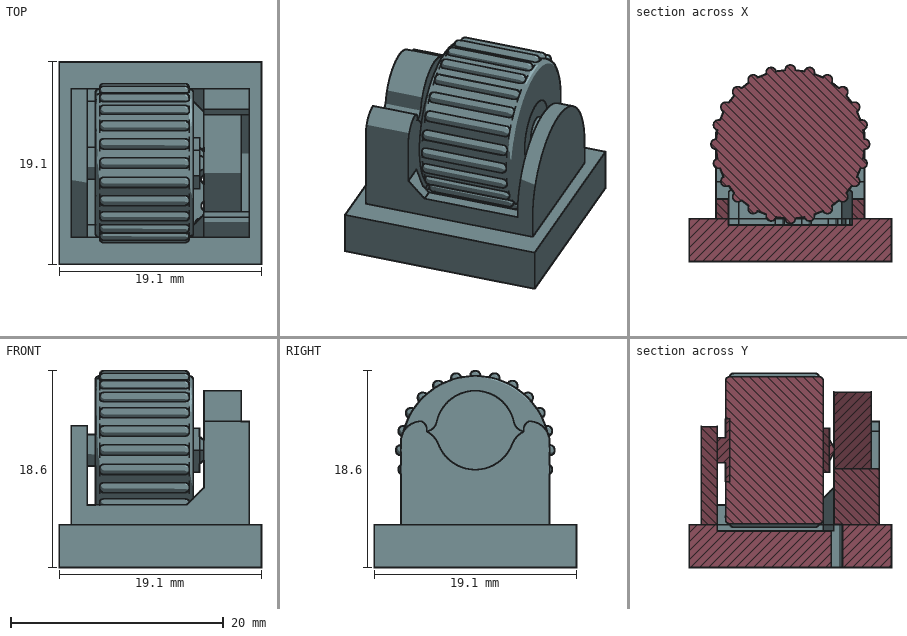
import cadquery as cq
import math

base_side = 19.05
base_top = 4.04
recess_depth = 0.57
pin_hole_diameter = 1.03
pin_hole_x = 4.38
pin_hole_middle_y = -1.52
pin_hole_pitch = 2.5
small_hole_diameter = 0.65
small_hole_x = 3.65
small_hole_y = -5.56

axis_z = 11.05
wheel_radius = 7.0
wheel_left = -6.12
wheel_right = 3.12
wheel_edge_radius = 0.4
rib_count = 24
rib_radius = 0.5
rib_end_radius = 0.4
hub_diameter = 6.15
hub_depth = 0.4

frame_half_length = 8.38
frame_half_width = wheel_radius
frame_floor = 5.9
left_wall_right = -6.85
left_arch_z = 6.36
block_left = 4.1
block_top = 13.77
shoulder_z = 12.13
crest_y = 5.07
arm_bow = 0.2
ramp_size = 1.62
pocket_half_width = 5.81
pocket_corner = 0.97

housing_right = 7.64
dome_radius = 3.71
dome_top = 16.65
groove_radius = 1.15
groove_angle = 12.0
lip_angle = 21.0
seam_y = 4.57

axle_diameter = 3.0
nut_across_flats = 4.15
nut_right = 3.7
tip_across_flats = 2.61
tip_taper = 42.0


def polar(center, radius, degrees):
    """Point at an angle on a circle."""
    angle = math.radians(degrees)
    return (center[0] + radius * math.cos(angle), center[1] + radius * math.sin(angle))


def arc_middle(center, start, end):
    """Middle of the shorter arc from start to end about center."""
    chord_y = (start[0] + end[0]) / 2 - center[0]
    chord_z = (start[1] + end[1]) / 2 - center[1]
    stretch = math.dist(center, start) / math.hypot(chord_y, chord_z)
    return (center[0] + chord_y * stretch, center[1] + chord_z * stretch)


def mirrored(point):
    """The same point on the other side of the mid plane."""
    return (-point[0], point[1])


dome_center = (0, dome_top - dome_radius)
cradle_bottom = (0, dome_center[1] - dome_radius)

groove_start = polar(dome_center, dome_radius, groove_angle)
groove_center = polar(dome_center, dome_radius + groove_radius, groove_angle)
seam = (seam_y, groove_center[1] - math.sqrt(groove_radius**2 - (seam_y - groove_center[0])**2))
foot_middle = arc_middle(groove_center, groove_start, seam)

crest = (crest_y, block_top)
arm_side = math.dist(seam, crest)
arm_middle = (
    (seam[0] + crest[0]) / 2 - arm_bow * (crest[1] - seam[1]) / arm_side,
    (seam[1] + crest[1]) / 2 + arm_bow * (crest[0] - seam[0]) / arm_side,
)

shoulder_start = (frame_half_width, shoulder_z)
shoulder_height = block_top - shoulder_z
shoulder_radius = ((frame_half_width - crest_y)**2 + shoulder_height**2) / (2 * shoulder_height)
shoulder_middle = arc_middle((crest_y, block_top - shoulder_radius), shoulder_start, crest)

lip_end = polar(dome_center, dome_radius, -lip_angle)
lip_normal = polar((0, 0), 1, -lip_angle)
seam_offset = (seam[0] - lip_end[0], seam[1] - lip_end[1])
lip_radius = (seam_offset[0]**2 + seam_offset[1]**2) / (
    2 * (seam_offset[0] * lip_normal[0] + seam_offset[1] * lip_normal[1])
)
lip_center = polar(dome_center, dome_radius + lip_radius, -lip_angle)
lip_middle = arc_middle(lip_center, seam, lip_end)


def pocket_cutter(bottom, top):
    """Prism of the wheel pocket, with 45 degree corners at the block end."""
    corner_x = block_left - pocket_corner
    corner_y = pocket_half_width - pocket_corner
    return (
        cq.Workplane("XY", origin=(0, 0, bottom))
        .moveTo(left_wall_right, -pocket_half_width)
        .lineTo(corner_x, -pocket_half_width)
        .lineTo(block_left, -corner_y)
        .lineTo(block_left, corner_y)
        .lineTo(corner_x, pocket_half_width)
        .lineTo(left_wall_right, pocket_half_width)
        .close()
        .extrude(top - bottom)
    )


def make_base():
    """Square plate with the wheel recess and its through holes."""
    plate = cq.Workplane("XY").rect(base_side, base_side).extrude(base_top)
    plate = plate.cut(pocket_cutter(base_top - recess_depth, base_top))
    pin_places = [(pin_hole_x, pin_hole_middle_y + i * pin_hole_pitch) for i in (-1, 0, 1)]
    pin_holes = cq.Workplane("XY").pushPoints(pin_places).circle(pin_hole_diameter / 2).extrude(base_top)
    small_hole = (
        cq.Workplane("XY")
        .center(small_hole_x, small_hole_y)
        .circle(small_hole_diameter / 2)
        .extrude(base_top)
    )
    return plate.cut(pin_holes).cut(small_hole)


def make_left_wall():
    """Wall with a semicircular top that the axle stub meets."""
    return (
        cq.Workplane("YZ", origin=(-frame_half_length, 0, 0))
        .moveTo(-frame_half_width, base_top)
        .lineTo(frame_half_width, base_top)
        .lineTo(frame_half_width, left_arch_z)
        .threePointArc((0, left_arch_z + frame_half_width), (-frame_half_width, left_arch_z))
        .close()
        .extrude(left_wall_right + frame_half_length)
    )


def make_floor():
    """Floor between the walls, rising in a ramp to the block."""
    return (
        cq.Workplane("XZ", origin=(0, frame_half_width, 0))
        .moveTo(left_wall_right, base_top)
        .lineTo(block_left, base_top)
        .lineTo(block_left, frame_floor + ramp_size)
        .lineTo(block_left - ramp_size, frame_floor)
        .lineTo(left_wall_right, frame_floor)
        .close()
        .extrude(2 * frame_half_width)
    )


def make_block():
    """Block with two rounded arms and the cradle between them."""
    return (
        cq.Workplane("YZ", origin=(block_left, 0, 0))
        .moveTo(-frame_half_width, base_top)
        .lineTo(frame_half_width, base_top)
        .lineTo(*shoulder_start)
        .threePointArc(shoulder_middle, crest)
        .threePointArc(arm_middle, seam)
        .threePointArc(lip_middle, lip_end)
        .threePointArc(cradle_bottom, mirrored(lip_end))
        .threePointArc(mirrored(lip_middle), mirrored(seam))
        .threePointArc(mirrored(arm_middle), mirrored(crest))
        .threePointArc(mirrored(shoulder_middle), mirrored(shoulder_start))
        .close()
        .extrude(frame_half_length - block_left)
    )


def make_frame():
    """Wall, floor and block in one piece, with the wheel pocket cut through the floor."""
    frame = make_left_wall().union(make_floor()).union(make_block())
    return frame.cut(pocket_cutter(base_top, block_top))


def make_housing():
    """Dome that fills the cradle, with a foot on each lip."""
    return (
        cq.Workplane("YZ", origin=(block_left, 0, 0))
        .moveTo(*seam)
        .threePointArc(foot_middle, groove_start)
        .threePointArc((0, dome_top), mirrored(groove_start))
        .threePointArc(mirrored(foot_middle), mirrored(seam))
        .threePointArc(mirrored(lip_middle), mirrored(lip_end))
        .threePointArc(cradle_bottom, lip_end)
        .threePointArc(lip_middle, seam)
        .close()
        .extrude(housing_right - block_left)
    )


def hub_disc():
    """Disc of the axle, flush with the left face of the wheel; also cuts its recess."""
    return (
        cq.Workplane("YZ", origin=(wheel_left, 0, axis_z))
        .circle(hub_diameter / 2)
        .extrude(hub_depth)
    )


def make_wheel():
    """Round-edged wheel with ribs around its rim and a hub recess on the left."""
    wheel = (
        cq.Workplane("YZ", origin=(wheel_left, 0, axis_z))
        .circle(wheel_radius)
        .extrude(wheel_right - wheel_left)
        .edges()
        .fillet(wheel_edge_radius)
    )
    rib_left = wheel_left + wheel_edge_radius
    rib_length = wheel_right - wheel_edge_radius - rib_left
    rib = (
        cq.Workplane("YZ", origin=(rib_left, 0, axis_z + wheel_radius))
        .circle(rib_radius)
        .extrude(rib_length)
        .edges()
        .fillet(rib_end_radius)
    )
    for i in range(rib_count):
        wheel = wheel.union(rib.rotate((0, 0, axis_z), (1, 0, axis_z), i * 360 / rib_count))
    return wheel.cut(hub_disc())


def make_axle():
    """Stub from the left wall to the wheel, ending in the hub disc."""
    stub = (
        cq.Workplane("YZ", origin=(left_wall_right, 0, axis_z))
        .circle(axle_diameter / 2)
        .extrude(wheel_left - left_wall_right)
    )
    return stub.union(hub_disc())


def hexagon(left, across_flats):
    """Hexagon about the wheel axis, with two corners level with the axis."""
    across_corners = across_flats / math.cos(math.pi / 6)
    return cq.Workplane("YZ", origin=(left, 0, axis_z)).polygon(6, across_corners)


def make_nut():
    """Hexagonal nut against the right face of the wheel."""
    return hexagon(wheel_right, nut_across_flats).extrude(nut_right - wheel_right)


def make_tip():
    """Tapered hexagonal tip between the nut and the housing."""
    return hexagon(nut_right, tip_across_flats).extrude(block_left - nut_right, taper=tip_taper)


base = make_base()
frame = make_frame()
housing = make_housing()
wheel = make_wheel()
axle = make_axle()
nut = make_nut()
tip = make_tip()

result = cq.Compound.makeCompound([
    base.val(),
    frame.val(),
    housing.val(),
    wheel.val(),
    axle.val(),
    nut.val(),
    tip.val(),
])